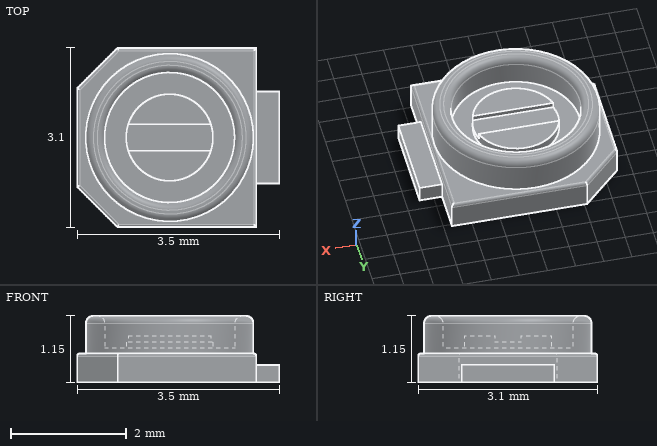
import cadquery as cq

total_length = 3.5
base_size = 3.1
base_height = 0.5
corner_cut = 0.7
base_edge_radius = 0.05

tab_width = 1.6
tab_height = 0.3

total_height = 1.15
ring_diameter = 2.9
bore_diameter = 2.25
ring_offset_x = 0.05
wall_thickness = (ring_diameter - bore_diameter) / 2
rim_radius = 0.4 * wall_thickness
floor_height = 0.6

rotor_diameter = 1.5
rotor_top = 0.8
slot_width = 0.455
slot_depth = 0.1

base_left = -total_length / 2
base_center_x = base_left + base_size / 2
ring_center_x = base_center_x + ring_offset_x


def cylinder(diameter, bottom, top):
    """Vertical cylinder on the rotor axis."""
    return (
        cq.Workplane("XY", origin=(ring_center_x, 0, bottom))
        .circle(diameter / 2)
        .extrude(top - bottom)
    )


def make_base():
    """Square plate with two cut corners and a rounded top edge."""
    return (
        cq.Workplane("XY", origin=(base_center_x, 0, 0))
        .rect(base_size, base_size)
        .extrude(base_height)
        .edges("|Z and <X")
        .chamfer(corner_cut)
        .faces(">Z")
        .edges()
        .fillet(base_edge_radius)
    )


def make_tab():
    """Flat tab from the rotor axis out past the base."""
    tab_length = total_length / 2 - ring_center_x
    return cq.Workplane("XY").box(
        tab_length, tab_width, tab_height, centered=(False, True, False)
    ).translate((ring_center_x, 0, 0))


def make_housing():
    """Cup with a closed floor and a rim rounded inside and out."""
    outer = cylinder(ring_diameter, 0, total_height)
    bore = cylinder(bore_diameter, floor_height, total_height)
    return outer.cut(bore).faces(">Z").edges().fillet(rim_radius)


def make_rotor():
    """Disc with a screwdriver slot along X."""
    slot = cq.Workplane("XY").box(
        rotor_diameter, slot_width, slot_depth, centered=(True, True, False)
    ).translate((ring_center_x, 0, rotor_top - slot_depth))
    return cylinder(rotor_diameter, floor_height, rotor_top).cut(slot)


result = make_base().union(make_tab()).union(make_housing()).union(make_rotor())